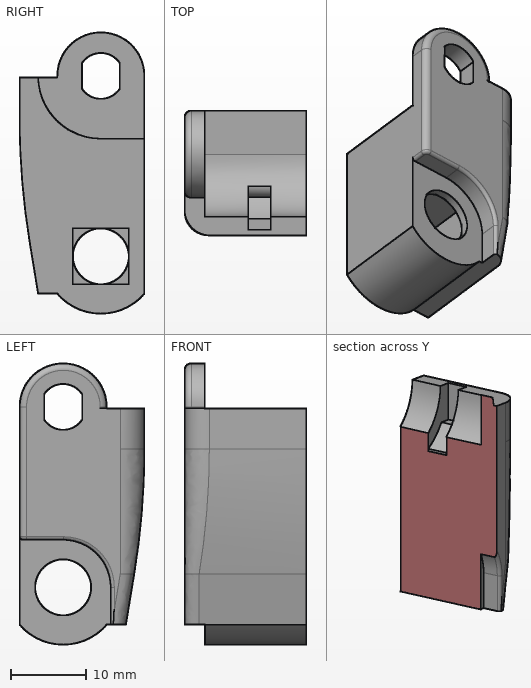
import cadquery as cq
import math

length_x = 16.2
cheek_thickness = 2.7
lug_radius = 5.8
wall_top = 31.4
wall_outer_y = -10.8

upper_pivot_z = 37.38 - lug_radius
lug_edge_round = 0.9
flat_hole_radius = 3.03
flat_hole_width = 5.0

foot_radius = 7.63
lower_pivot_z = foot_radius
lower_hole_radius = 3.7
square_pocket_start_x = 3.8
square_pocket_width = 2 * lower_hole_radius
foot_corner_z = lower_pivot_z - math.sqrt(foot_radius**2 - lug_radius**2)

bend_top_z = 26.0
bend_bottom_z = 9.45
slope_angle = math.radians(9.3)
bend_radius = (bend_top_z - bend_bottom_z) / math.sin(slope_angle)

corner_start_y = -7.55
bend_sections = 6
cutter_margin = 1.87

seat_radius = 8.35

groove_start_x = 8.5
groove_width = 3.0
groove_radius = 10.05
groove_step_y = -8.55
groove_lip_y = -5.72
groove_end_y = -4.25

relief_radius = 6.3
relief_edge_round = 0.45
selection_margin = 0.05


def wall_y(z):
    """Y of the outer wall surface at height z."""
    if z >= bend_top_z:
        return wall_outer_y
    if z >= bend_bottom_z:
        drop = bend_top_z - z
        return wall_outer_y + bend_radius - math.sqrt(bend_radius**2 - drop**2)
    return wall_y(bend_bottom_z) + (bend_bottom_z - z) * math.tan(slope_angle)


def arc_z(y, radius):
    """Height of the lower half of a circle about the upper pivot at the given y."""
    return upper_pivot_z - math.sqrt(radius**2 - y**2)


def make_body():
    bend_middle_z = (bend_top_z + bend_bottom_z) / 2
    return (
        cq.Workplane("YZ")
        .moveTo(lug_radius, wall_top)
        .lineTo(wall_outer_y, wall_top)
        .lineTo(wall_outer_y, bend_top_z)
        .threePointArc((wall_y(bend_middle_z), bend_middle_z), (wall_y(bend_bottom_z), bend_bottom_z))
        .lineTo(wall_y(foot_corner_z), foot_corner_z)
        .lineTo(-lug_radius, foot_corner_z)
        .threePointArc((0, 0), (lug_radius, foot_corner_z))
        .close()
        .extrude(length_x)
    )


def make_seat_cut():
    """Flat floor that runs into a quarter cylinder concentric with the upper pivot."""
    middle = seat_radius * math.sqrt(0.5)
    floor_z = upper_pivot_z - seat_radius
    return (
        cq.Workplane("YZ", origin=(cheek_thickness, 0, 0))
        .moveTo(lug_radius, upper_pivot_z)
        .lineTo(lug_radius, floor_z)
        .lineTo(0, floor_z)
        .threePointArc((-middle, upper_pivot_z - middle), (-seat_radius, upper_pivot_z))
        .close()
        .extrude(length_x - cheek_thickness)
    )


def make_groove_cut():
    """Groove with a flat step in the wall, a concentric floor and a rounded lip."""
    step_z = arc_z(groove_step_y, groove_radius)
    floor_middle_y = (groove_step_y + groove_lip_y) / 2
    lip_top_z = arc_z(groove_end_y, seat_radius)
    lip_radius = groove_end_y - groove_lip_y
    lip_offset = lip_radius * (1 - math.sqrt(0.5))
    return (
        cq.Workplane("YZ", origin=(groove_start_x, 0, 0))
        .moveTo(groove_end_y, upper_pivot_z)
        .lineTo(-groove_radius, upper_pivot_z)
        .lineTo(-groove_radius, step_z)
        .lineTo(groove_step_y, step_z)
        .threePointArc(
            (floor_middle_y, arc_z(floor_middle_y, groove_radius)),
            (groove_lip_y, arc_z(groove_lip_y, groove_radius)),
        )
        .lineTo(groove_lip_y, lip_top_z - lip_radius)
        .threePointArc((groove_lip_y + lip_offset, lip_top_z - lip_offset), (groove_end_y, lip_top_z))
        .close()
        .extrude(groove_width)
    )


def corner_section(z, start_y):
    """Area outside a quarter round that starts on the cheek at start_y and ends on the wall."""
    radius = start_y - wall_y(z)
    bulge = radius * (1 - math.sqrt(0.5))
    end_y = wall_y(z)
    return (
        cq.Workplane("XY", origin=(0, 0, z))
        .moveTo(0, start_y)
        .threePointArc((bulge, end_y + bulge), (radius, end_y))
        .lineTo(radius, end_y - cutter_margin)
        .lineTo(-cutter_margin, end_y - cutter_margin)
        .lineTo(-cutter_margin, start_y)
        .close()
        .wire()
        .val()
    )


def make_corner_cuts():
    """Constant round at the top, tapering round along the bend, constant round on the slope."""
    bend_step = (bend_top_z - bend_bottom_z) / (bend_sections - 1)
    bend_heights = [bend_bottom_z + i * bend_step for i in range(bend_sections)]
    slope_start_y = corner_start_y + wall_y(foot_corner_z) - wall_y(bend_bottom_z)
    bend_wires = [corner_section(z, corner_start_y) for z in bend_heights]
    top_wire = corner_section(wall_top, corner_start_y)
    foot_wire = corner_section(foot_corner_z, slope_start_y)
    return [
        cq.Workplane(cq.Solid.makeLoft([bend_wires[-1], top_wire], True)),
        cq.Workplane(cq.Solid.makeLoft(bend_wires)),
        cq.Workplane(cq.Solid.makeLoft([foot_wire, bend_wires[0]], True)),
    ]


def make_rounded_cheek():
    """Cheek plate with lug, its outer edge rounded everywhere but at the foot."""
    return (
        cq.Workplane("YZ")
        .moveTo(-lug_radius, foot_corner_z)
        .lineTo(-lug_radius, upper_pivot_z)
        .threePointArc((0, upper_pivot_z + lug_radius), (lug_radius, upper_pivot_z))
        .lineTo(lug_radius, foot_corner_z)
        .close()
        .extrude(cheek_thickness)
        .faces("<X")
        .edges("not <Z")
        .fillet(lug_edge_round)
    )


def make_relief_cut():
    """Arched relief through the cheek around the lower pivot."""
    side_y = lug_radius + cutter_margin
    middle = relief_radius * math.sqrt(0.5)
    return (
        cq.Workplane("YZ")
        .moveTo(side_y, -cutter_margin)
        .lineTo(side_y, lower_pivot_z + relief_radius)
        .lineTo(0, lower_pivot_z + relief_radius)
        .threePointArc((-middle, lower_pivot_z + middle), (-relief_radius, lower_pivot_z))
        .lineTo(-relief_radius, -cutter_margin)
        .close()
        .extrude(cheek_thickness)
    )


def make_pivot_holes():
    """Round hole that opens into a square pocket below, double-flat hole above."""
    lower = (
        cq.Workplane("YZ", origin=(0, 0, lower_pivot_z))
        .circle(lower_hole_radius)
        .extrude(square_pocket_start_x)
    )
    pocket = (
        cq.Workplane("YZ", origin=(square_pocket_start_x, 0, lower_pivot_z))
        .rect(square_pocket_width, square_pocket_width)
        .extrude(length_x - square_pocket_start_x)
    )
    flats = cq.Workplane("XY").box(2 * length_x, flat_hole_width, 2 * lug_radius)
    upper = (
        cq.Workplane("YZ")
        .circle(flat_hole_radius)
        .extrude(cheek_thickness)
        .intersect(flats)
        .translate((0, 0, upper_pivot_z))
    )
    return [lower, pocket, upper]


strip = (
    cq.Workplane("XY")
    .box(cheek_thickness, 2 * lug_radius, wall_top, centered=False)
    .translate((0, -lug_radius + lug_edge_round, 0))
)
body = make_body().cut(strip).union(make_rounded_cheek())

body = body.cut(make_relief_cut())
relief_edges = cq.selectors.BoxSelector(
    (-selection_margin, -relief_radius - selection_margin, 0),
    (selection_margin, lug_radius, lower_pivot_z + relief_radius + selection_margin),
)
body = body.edges(relief_edges).fillet(relief_edge_round)

cutters = [make_seat_cut(), make_groove_cut()] + make_corner_cuts() + make_pivot_holes()
for cutter in cutters:
    body = body.cut(cutter)

result = body